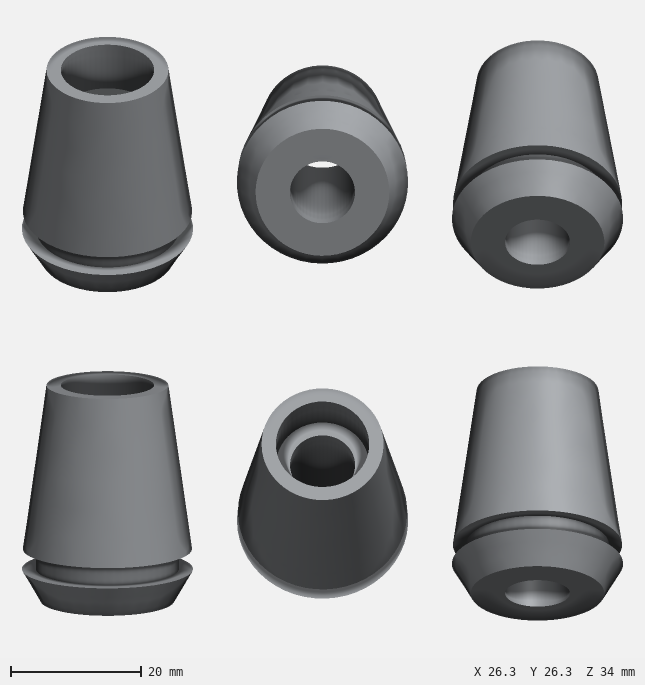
import cadquery as cq
import math

height = 34.0
collar_diameter = 26.3

collar_height = 5.0
collar_half_angle = 30.0

groove_top = 8.15
groove_diameter = 22.0

taper_base_diameter = 26.0
taper_half_angle = 8.0

counterbore_diameter = 14.35
counterbore_depth = 8.0
through_diameter = 10.0


def radius_change(length, half_angle):
    """Radius gained or lost by a cone along its axial length."""
    return length * math.tan(math.radians(half_angle))


collar_radius = collar_diameter / 2
groove_radius = groove_diameter / 2
taper_base_radius = taper_base_diameter / 2
bottom_radius = collar_radius - radius_change(collar_height, collar_half_angle)
top_radius = taper_base_radius - radius_change(height - groove_top, taper_half_angle)

counterbore_radius = counterbore_diameter / 2
through_radius = through_diameter / 2
counterbore_floor = height - counterbore_depth

section = (
    cq.Workplane("XZ")
    .moveTo(through_radius, 0)
    .lineTo(bottom_radius, 0)
    .lineTo(collar_radius, collar_height)
    .lineTo(groove_radius, collar_height)
    .lineTo(groove_radius, groove_top)
    .lineTo(taper_base_radius, groove_top)
    .lineTo(top_radius, height)
    .lineTo(counterbore_radius, height)
    .lineTo(counterbore_radius, counterbore_floor)
    .lineTo(through_radius, counterbore_floor)
    .close()
)

result = section.revolve(360, (0, 0, 0), (0, 1, 0))